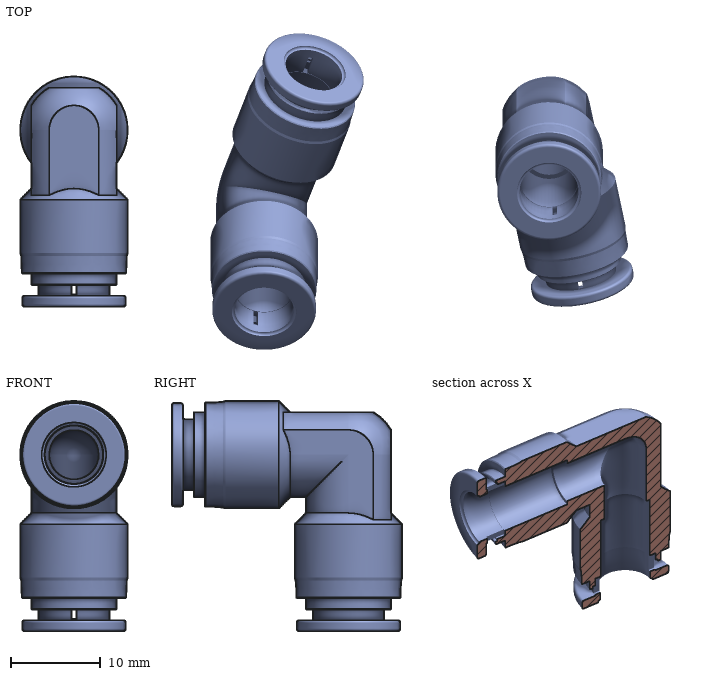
import cadquery as cq


overall_length = 25.7
body_diameter = 12.0
body_radius = body_diameter / 2
face_end = overall_length - body_radius
shoulder_start = 6.5
body_end = 13.7
lip_end = 14.0
lip_radius = 5.9
sleeve_end = 16.0
sleeve_end_radius = 5.83
sleeve_chamfer = 0.1
collar_end = 17.27
collar_chamfer = 0.08
collet_radius = 3.98
recess_radius = 4.27
recess_depth = 0.25
flange_radius = 5.78
flange_thickness = 1.25
edge_fillet = 0.3

elbow_half_width = 4.75
elbow_round_radius = 5.5

flow_radius = 2.75
tube_radius = 3.25
tube_stop = 7.75
collet_bore_radius = 3.3
collet_inner_end = 16.0

slot_width = 0.55
slot_outer_end = 18.3

collar_radius = elbow_half_width
shoulder_end = shoulder_start + body_radius - elbow_half_width
elbow_leg_length = shoulder_end
flange_start = face_end - flange_thickness


def leg(radius, start, end):
    """Cylinder on the -Z port axis between two distances from the origin."""
    return cq.Workplane("XY").workplane(offset=-end).circle(radius).extrude(end - start)


def to_horizontal(shape):
    """Turn a shape on the -Z axis onto the -Y axis."""
    return shape.rotate((0, 0, 0), (1, 0, 0), -90)


def both_legs(shape):
    """Join a shape on the -Z axis with its copy on the -Y axis."""
    return shape.union(to_horizontal(shape))


def make_elbow():
    """Bend with flats and rounded edges outside and a round mitre inside."""
    rounded = both_legs(leg(elbow_round_radius, 0, elbow_leg_length))
    rounded = rounded.union(cq.Workplane("XY").sphere(elbow_round_radius))
    box_length = elbow_half_width + elbow_leg_length
    box_center = elbow_half_width - box_length / 2
    box = (
        cq.Workplane("XY")
        .box(2 * elbow_half_width, box_length, box_length)
        .translate((0, box_center, box_center))
    )
    inside_corner = (
        cq.Workplane("XY")
        .box(2 * body_radius, box_length, box_length)
        .translate((0, -box_length / 2, -box_length / 2))
    )
    inside = both_legs(leg(elbow_half_width, 0, elbow_leg_length))
    return rounded.intersect(box).cut(inside_corner).union(inside)


def make_port():
    """Outer shape of one port, turned about Z and pointing along -Z."""
    profile = [
        (0, shoulder_start),
        (elbow_half_width, shoulder_start),
        (body_radius, shoulder_end),
        (body_radius, body_end),
        (lip_radius, lip_end),
        (sleeve_end_radius, sleeve_end - sleeve_chamfer),
        (sleeve_end_radius - sleeve_chamfer, sleeve_end),
        (collar_radius, sleeve_end),
        (collar_radius, collar_end - collar_chamfer),
        (collar_radius - collar_chamfer, collar_end),
        (recess_radius, collar_end),
        (recess_radius, collar_end - recess_depth),
        (collet_radius, collar_end - recess_depth),
        (collet_radius, flange_start),
        (0, flange_start),
    ]
    turned = (
        cq.Workplane("XZ")
        .polyline([(radius, -distance) for radius, distance in profile])
        .close()
        .revolve(360, (0, 0, 0), (0, 1, 0))
    )
    flange = leg(flange_radius, flange_start, face_end).edges().fillet(edge_fillet)
    return turned.union(flange)


def make_bore():
    """Stepped bore of one port, with a rounded mouth."""
    bore = leg(flow_radius, 0, tube_stop)
    bore = bore.union(leg(tube_radius, tube_stop, collet_inner_end))
    bore = bore.union(leg(collet_bore_radius, collet_inner_end, face_end))
    mouth = (
        cq.Workplane("XZ")
        .moveTo(0, -face_end)
        .lineTo(collet_bore_radius + edge_fillet, -face_end)
        .radiusArc((collet_bore_radius, edge_fillet - face_end), -edge_fillet)
        .lineTo(0, edge_fillet - face_end)
        .close()
        .revolve(360, (0, 0, 0), (0, 1, 0))
    )
    return bore.union(mouth)


def make_slots():
    """Opposite slots along the bend plane, as deep as the collet wall."""
    slot_length = slot_outer_end - collet_inner_end
    bar = (
        cq.Workplane("XY")
        .box(slot_width, 2 * body_radius, slot_length)
        .translate((0, 0, -(slot_outer_end + collet_inner_end) / 2))
    )
    return bar.intersect(leg(collet_radius, collet_inner_end, slot_outer_end))


outside = make_elbow().union(both_legs(make_port()))
bores = both_legs(make_bore()).union(cq.Workplane("XY").sphere(flow_radius))
result = outside.cut(bores).cut(both_legs(make_slots()))